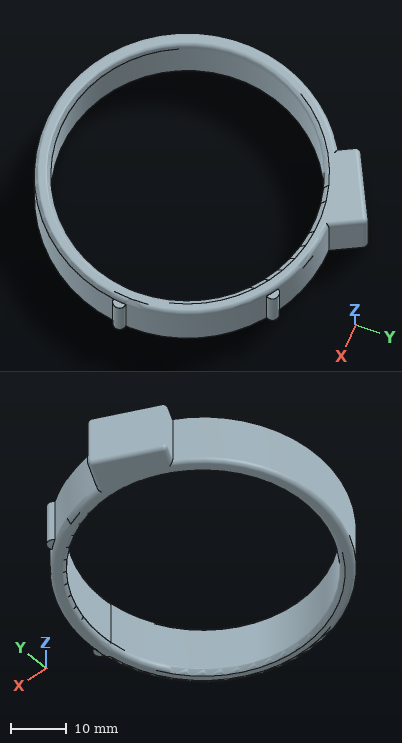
import cadquery as cq
import math

BORE_RADIUS = 24.5
WALL = 3.0
OUTER_RADIUS = BORE_RADIUS + WALL
HEIGHT = 12.0
EDGE_ROUND = 1.0
STRAIGHT_HEIGHT = HEIGHT - 2 * EDGE_ROUND

BLOCK_TURN = 27.0
BLOCK_WIDTH = 15.0
BLOCK_OFFSET = 5.4
BLOCK_REACH = 31.4

INLAY_START = -5.0
INLAY_SWEEP = 60.0
INLAY_THICKNESS = EDGE_ROUND
RIB_DIAMETER = 2.5


def cylinder(radius, height):
    """Upright cylinder on the ring axis, centred on mid-height."""
    return cq.Workplane("XY").circle(radius).extrude(height / 2, both=True)


def make_block():
    """Full-height block with rounded outer upright edges, reaching in to the ring axis."""
    block = (
        cq.Workplane("XY")
        .center(BLOCK_OFFSET, BLOCK_REACH / 2)
        .rect(BLOCK_WIDTH, BLOCK_REACH)
        .extrude(HEIGHT / 2, both=True)
        .edges("|Z and >Y")
        .fillet(EDGE_ROUND)
    )
    return block.rotate((0, 0, 0), (0, 0, 1), BLOCK_TURN)


def make_rib(angle):
    """Upright round rib centred on the outer surface of the ring."""
    return (
        cylinder(RIB_DIAMETER / 2, STRAIGHT_HEIGHT)
        .translate((OUTER_RADIUS, 0, 0))
        .rotate((0, 0, 0), (0, 0, 1), angle)
    )


def make_inlay():
    """Curved plate whose inner face continues the bore."""

    def at(radius, angle):
        turn = math.radians(angle)
        return (radius * math.cos(turn), radius * math.sin(turn))

    back_radius = BORE_RADIUS + INLAY_THICKNESS
    middle = INLAY_START + INLAY_SWEEP / 2
    end = INLAY_START + INLAY_SWEEP
    return (
        cq.Workplane("XY")
        .moveTo(*at(BORE_RADIUS, INLAY_START))
        .lineTo(*at(back_radius, INLAY_START))
        .threePointArc(at(back_radius, middle), at(back_radius, end))
        .lineTo(*at(BORE_RADIUS, end))
        .threePointArc(at(BORE_RADIUS, middle), at(BORE_RADIUS, INLAY_START))
        .close()
        .extrude(STRAIGHT_HEIGHT / 2, both=True)
        .solids()
    )


def make_housing(inlay):
    """Ring and block with rounded rims, the two ribs, and a recess for the inlay."""
    body = cylinder(OUTER_RADIUS, HEIGHT).union(make_block())
    body = body.cut(cylinder(BORE_RADIUS, HEIGHT))
    body = body.faces("<Z or >Z").edges().fillet(EDGE_ROUND)
    for angle in (INLAY_START, INLAY_START + INLAY_SWEEP):
        body = body.union(make_rib(angle))
    return body.cut(inlay).solids()


inlay = make_inlay()
housing = make_housing(inlay)

result = cq.Compound.makeCompound([housing.val(), inlay.val()])